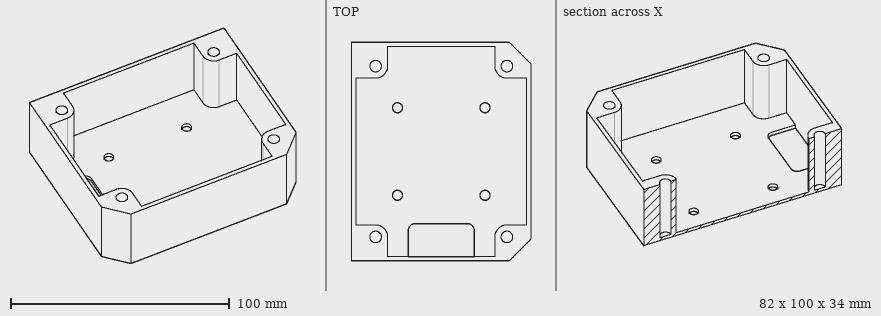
import cadquery as cq

width = 82.0
length = 100.0
height = 34.0
corner_chamfer = 10.0
wall = 2.0
floor = 2.0

screw_inset = 11.0
screw_diameter = 5.3
post_radius = 5.5
post_size = screw_inset + post_radius

mount_pitch = 40.0
mount_diameter = 4.5

opening_width = 30.0
opening_length = 15.0
opening_radius = 3.0

cavity_depth = height - floor


def make_box():
    """Solid block with both +X vertical corners chamfered."""
    block = cq.Workplane("XY").box(width, length, height, centered=(True, True, False))
    return block.edges("|Z and >X").chamfer(corner_chamfer)


def make_cavity():
    """Inner volume, leaving a rounded square post in each corner."""
    cavity = (
        cq.Workplane("XY", origin=(0, 0, floor))
        .rect(width - 2 * wall, length - 2 * wall)
        .extrude(cavity_depth)
    )
    for x_side in (-1, 1):
        for y_side in (-1, 1):
            post = (
                cq.Workplane("XY", origin=(0, 0, floor))
                .center(x_side * (width - post_size) / 2, y_side * (length - post_size) / 2)
                .rect(post_size, post_size)
                .extrude(cavity_depth)
            )
            inner_x = "<X" if x_side > 0 else ">X"
            inner_y = "<Y" if y_side > 0 else ">Y"
            post = post.edges("|Z").edges(inner_x).edges(inner_y).fillet(post_radius)
            cavity = cavity.cut(post)
    return cavity


def make_screw_holes():
    """Blind holes running down the posts to the floor."""
    return (
        cq.Workplane("XY", origin=(0, 0, floor))
        .rect(width - 2 * screw_inset, length - 2 * screw_inset, forConstruction=True)
        .vertices()
        .circle(screw_diameter / 2)
        .extrude(cavity_depth)
    )


def make_mount_holes():
    """Square pattern of through holes in the floor."""
    return (
        cq.Workplane("XY")
        .rect(mount_pitch, mount_pitch, forConstruction=True)
        .vertices()
        .circle(mount_diameter / 2)
        .extrude(floor)
    )


def make_floor_opening():
    """Opening through the floor with its two +Y corners rounded."""
    opening = (
        cq.Workplane("XY")
        .center(0, -length / 2 + wall + opening_length / 2)
        .rect(opening_width, opening_length)
        .extrude(floor)
    )
    return opening.edges("|Z and >Y").fillet(opening_radius)


result = (
    make_box()
    .cut(make_cavity())
    .cut(make_screw_holes())
    .cut(make_mount_holes())
    .cut(make_floor_opening())
)